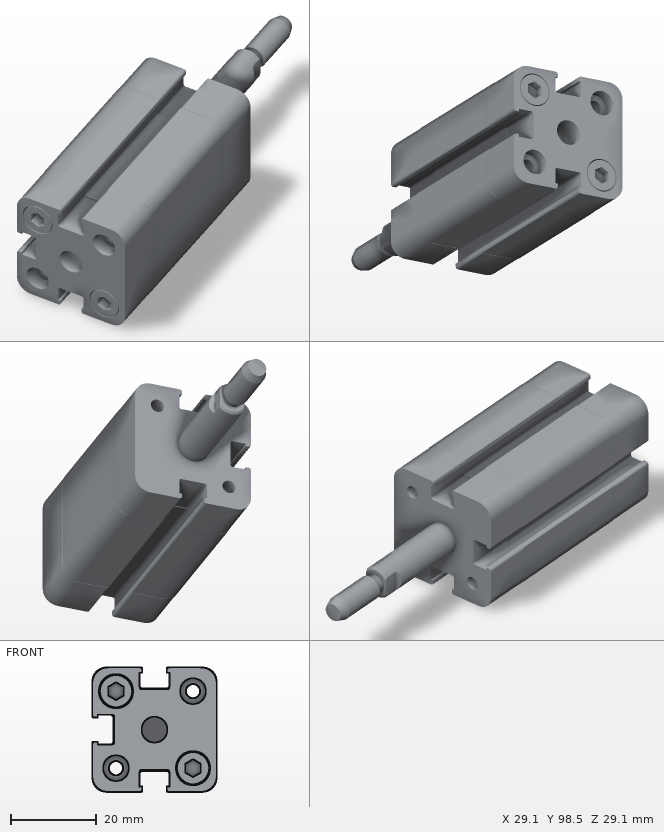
import cadquery as cq
import math


CAP_SIDE = 29.1
TUBE_SIDE = 29.0
BODY_LENGTH = 58.1
CAP_LENGTH = 12.2
TUBE_LENGTH = BODY_LENGTH - 2 * CAP_LENGTH
CAP_CORNER_RADIUS = 3.7
TUBE_CORNER_RADIUS = 3.3

SLOT_ANGLES = (0, 90, 180)
MOUTH_WIDTH = 5.6
CHAMBER_WIDTH = 6.9
SLOT_FLOOR_RADIUS = 0.5
CHAMBER_TOP = 13.2
CAP_SLOT_FLOOR = 9.4
TUBE_SLOT_FLOOR = 9.7
CAP_MOUTH_RADIUS = 0.6
TUBE_MOUTH_RADIUS = 0.3

BOLT_OFFSET = 9.0
THROUGH_DIAMETER = 3.25
COUNTERBORE_DIAMETER = 6.0
COUNTERBORE_DEPTH = 3.3
CENTRE_BORE_DIAMETER = 6.0
CENTRE_BORE_DEPTH = 7.9
SCREW_BORE_DIAMETER = 8.0
SCREW_HEAD_DIAMETER = 7.5
SCREW_GAP_DEPTH = 3.9
HEX_CORNER_DIAMETER = 4.1
HEX_DEPTH = 2.5

ROD_DIAMETER = 8.0
ROD_END = 82.6
ROD_CHAMFER = 0.5
FLAT_WIDTH = 6.0
FLAT_END = 79.0
NECK_DIAMETER = 4.4
STUD_DIAMETER = 6.0
STUD_START = 84.6
STUD_SHOULDER_CHAMFER = 0.3
TIP_DIAMETER = 4.4
TIP_LENGTH = 2.3
TOTAL_LENGTH = 98.5


def along_y(start):
    """XZ sketch plane at Y = start, extruding toward +Y with Z up and X mirrored."""
    return cq.Workplane(cq.Plane(origin=(0, start, 0), xDir=(-1, 0, 0), normal=(0, 1, 0)))


def cylinder(start, length, diameter, x=0, z=0):
    return along_y(start).center(-x, z).circle(diameter / 2).extrude(length)


def slot_cutter(start, length, side, floor, mouth_radius):
    """T-slot in the top side: rounded mouth, wider chamber, rounded floor corners."""
    top = side / 2
    mouth_x = MOUTH_WIDTH / 2
    chamber_x = CHAMBER_WIDTH / 2
    mouth_edge = mouth_x + mouth_radius
    round_bottom = top - mouth_radius
    arc_reach = mouth_radius * math.sin(math.pi / 4)
    arc_x = mouth_edge - arc_reach
    arc_z = round_bottom + arc_reach
    mouth = (
        along_y(start)
        .moveTo(mouth_edge, top)
        .threePointArc((arc_x, arc_z), (mouth_x, round_bottom))
        .lineTo(mouth_x, floor)
        .lineTo(-mouth_x, floor)
        .lineTo(-mouth_x, round_bottom)
        .threePointArc((-arc_x, arc_z), (-mouth_edge, top))
        .close()
        .extrude(length)
    )
    chamber = (
        along_y(start)
        .moveTo(chamber_x, CHAMBER_TOP)
        .lineTo(chamber_x, floor)
        .lineTo(-chamber_x, floor)
        .lineTo(-chamber_x, CHAMBER_TOP)
        .close()
        .extrude(length)
        .faces("<Z")
        .edges("|Y")
        .fillet(SLOT_FLOOR_RADIUS)
    )
    return mouth.union(chamber)


def housing_section(start, length, side, corner_radius, slot_floor, mouth_radius):
    section = along_y(start).rect(side, side).extrude(length).edges("|Y").fillet(corner_radius)
    slot = slot_cutter(start, length, side, slot_floor, mouth_radius)
    for angle in SLOT_ANGLES:
        section = section.cut(slot.rotate((0, 0, 0), (0, 1, 0), -angle))
    return section


def end_cap(start):
    return housing_section(
        start, CAP_LENGTH, CAP_SIDE, CAP_CORNER_RADIUS, CAP_SLOT_FLOOR, CAP_MOUTH_RADIUS)


def housing():
    tube = housing_section(
        CAP_LENGTH, TUBE_LENGTH, TUBE_SIDE, TUBE_CORNER_RADIUS, TUBE_SLOT_FLOOR, TUBE_MOUTH_RADIUS)
    return end_cap(0).union(tube).union(end_cap(BODY_LENGTH - CAP_LENGTH))


def mounting_hole(x, z):
    """Counterbored through hole along the whole housing."""
    counterbore = cylinder(0, COUNTERBORE_DEPTH, COUNTERBORE_DIAMETER, x, z)
    return counterbore.union(cylinder(0, BODY_LENGTH, THROUGH_DIAMETER, x, z))


def screw_recess(x, z):
    """Narrow gap around a flush screw head, plus its hexagon socket."""
    gap = cylinder(0, SCREW_GAP_DEPTH, SCREW_BORE_DIAMETER, x, z).cut(
        cylinder(0, SCREW_GAP_DEPTH, SCREW_HEAD_DIAMETER, x, z))
    socket = (
        along_y(0)
        .center(-x, z)
        .transformed(rotate=(0, 0, 90))
        .polygon(6, HEX_CORNER_DIAMETER)
        .extrude(HEX_DEPTH)
    )
    return gap.union(socket)


def piston_rod():
    """Rod with two wrench flats facing -X and +X."""
    rod = cylinder(BODY_LENGTH, ROD_END - BODY_LENGTH, ROD_DIAMETER).faces(">Y").chamfer(ROD_CHAMFER)
    runout = (ROD_DIAMETER - FLAT_WIDTH) / 2
    flats = (
        cq.Workplane("XY")
        .moveTo(FLAT_WIDTH / 2, ROD_END)
        .lineTo(FLAT_WIDTH / 2, FLAT_END)
        .lineTo(ROD_DIAMETER / 2, FLAT_END - runout)
        .lineTo(ROD_DIAMETER / 2, ROD_END)
        .close()
        .extrude(ROD_DIAMETER / 2, both=True)
    )
    return rod.cut(flats).cut(flats.mirror("YZ"))


def threaded_end():
    """Neck and stud with a tapered tip, joined to the end of the rod."""
    neck = cylinder(ROD_END, STUD_START - ROD_END, NECK_DIAMETER)
    stud = (
        cylinder(STUD_START, TOTAL_LENGTH - STUD_START, STUD_DIAMETER)
        .faces("<Y")
        .chamfer(STUD_SHOULDER_CHAMFER)
        .faces(">Y")
        .chamfer(TIP_LENGTH, (STUD_DIAMETER - TIP_DIAMETER) / 2)
    )
    return neck.union(stud)


body = housing().cut(cylinder(0, CENTRE_BORE_DEPTH, CENTRE_BORE_DIAMETER))
for side in (-1, 1):
    body = body.cut(mounting_hole(side * BOLT_OFFSET, side * BOLT_OFFSET))
    body = body.cut(screw_recess(side * BOLT_OFFSET, -side * BOLT_OFFSET))

result = body.union(piston_rod()).union(threaded_end())